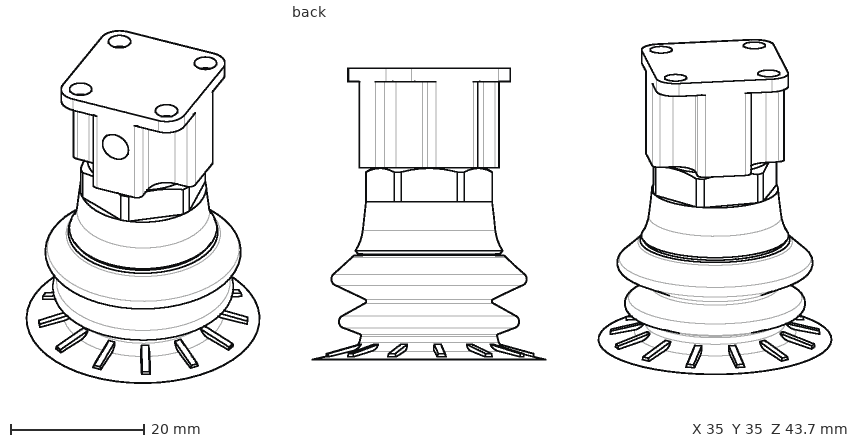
import cadquery as cq
import math

head_turn = 22.5
top_z = 43.7
flange_thickness = 2.0
flange_half_side = 10.0
screw_offset = 7.1
screw_hole_diameter = 3.3
block_bottom_z = 28.75
arm_corner_radius = 1.0
screw_clearance_radius = 3.0
bore_diameter = 8.3
port_diameter = 4.3
port_z = 37.0

hex_across_flats = 17.0
hex_corner_radius = 9.5
hex_top_radius = 8.4
hex_chamfer_angle = 30.0

collar_top_z = 23.7
collar_top_radius = 9.5
collar_waist_z = 19.4
collar_waist_radius = 9.95
collar_rim_z = 16.35
collar_rim_radius = 11.05
collar_bottom_z = 15.8
collar_bottom_radius = 10.65

neck_radius = 9.95
shoulder_edge = (11.25, 15.65)
shoulder_cone_top = (11.6, 15.35)
fold_radius = 1.0
groove_radius = 0.3
upper_fold = (13.68, 12.05)
lower_fold = (12.55, 5.7)
groove = (9.75, 8.75)
root_radius = 0.2
root = (10.45, 3.6)
upper_fold_top_tilt = 44
upper_fold_under_tilt = 65
lower_fold_top_tilt = 62
lower_fold_under_tilt = 68
waist_tilt = 15
waist_bottom = (10.5, 2.6)
lip_slope_start = (12.1, 1.25)
lip_diameter = 35.0

rib_count = 13
first_rib_angle = 180
rib_top_width = 1.05
rib_foot_width = 1.5
rib_depth = 0.8
rib_inner_radius = 10.5
rib_outer_radius = 15.75
rib_inner_z = 2.3
rib_outer_z = 0.87


def on_circle(centre, radius, angle):
    """Point at an angle in degrees on a circle in the radius-height plane."""
    turn = math.radians(angle)
    return (centre[0] + radius * math.cos(turn), centre[1] + radius * math.sin(turn))


def make_head():
    flange = (
        cq.Workplane("XY", origin=(0, 0, top_z - flange_thickness))
        .rect(2 * flange_half_side, 2 * flange_half_side)
        .extrude(flange_thickness)
        .edges("|Z")
        .fillet(flange_half_side - screw_offset)
        .faces(">Z")
        .workplane()
        .rect(2 * screw_offset, 2 * screw_offset, forConstruction=True)
        .vertices()
        .hole(screw_hole_diameter)
    )
    head = flange.union(make_block()).cut(make_port())
    return head.rotate((0, 0, 0), (0, 0, 1), head_turn)


def make_block():
    """Four rounded arms whose outer faces are flush with the flange, with a scallop between neighbours."""
    height = top_z - flange_thickness - block_bottom_z
    arm_half_width = screw_offset - screw_clearance_radius
    base = cq.Workplane("XY", origin=(0, 0, block_bottom_z))
    arm_pair = (
        base.rect(2 * flange_half_side, 2 * arm_half_width)
        .extrude(height)
        .edges("|Z")
        .fillet(arm_corner_radius)
    )
    core = base.rect(2 * screw_offset, 2 * screw_offset).extrude(height)
    scallops = (
        base.rect(2 * screw_offset, 2 * screw_offset, forConstruction=True)
        .vertices()
        .circle(screw_clearance_radius)
        .extrude(height)
    )
    cross_pair = arm_pair.rotate((0, 0, 0), (0, 0, 1), 90)
    bore = base.circle(bore_diameter / 2).extrude(height)
    return core.cut(scallops).union(arm_pair).union(cross_pair).cut(bore)


def make_port():
    """Side port reaching the bore axis from one arm face."""
    return (
        cq.Workplane("XZ", origin=(0, -flange_half_side, port_z))
        .circle(port_diameter / 2)
        .extrude(-flange_half_side)
    )


def make_fitting():
    height = block_bottom_z - collar_top_z
    across_corners = hex_across_flats / math.cos(math.pi / 6)
    hexagon = cq.Workplane("XY", origin=(0, 0, collar_top_z)).polygon(6, across_corners).extrude(height)
    chamfer_drop = (hex_corner_radius - hex_top_radius) * math.tan(math.radians(hex_chamfer_angle))
    turned_blank = (
        cq.Workplane("XZ")
        .moveTo(0, collar_top_z)
        .lineTo(hex_corner_radius, collar_top_z)
        .lineTo(hex_corner_radius, block_bottom_z - chamfer_drop)
        .lineTo(hex_top_radius, block_bottom_z)
        .lineTo(0, block_bottom_z)
        .close()
        .revolve(360, (0, 0, 0), (0, 1, 0))
    )
    return hexagon.intersect(turned_blank)


def make_collar():
    return (
        cq.Workplane("XZ")
        .moveTo(0, collar_top_z)
        .lineTo(collar_top_radius, collar_top_z)
        .lineTo(collar_waist_radius, collar_waist_z)
        .tangentArcPoint((collar_rim_radius, collar_rim_z), relative=False)
        .lineTo(collar_bottom_radius, collar_bottom_z)
        .lineTo(0, collar_bottom_z)
        .close()
        .revolve(360, (0, 0, 0), (0, 1, 0))
    )


def make_bellows():
    """Turned body with a thin conical lip, two rounded folds and radial ribs."""
    root_end = on_circle(root, root_radius, 180 - lower_fold_under_tilt)
    lower_fold_end = on_circle(lower_fold, fold_radius, lower_fold_top_tilt)
    groove_end = on_circle(groove, groove_radius, 180 - upper_fold_under_tilt)
    upper_fold_end = on_circle(upper_fold, fold_radius, upper_fold_top_tilt)
    profile = (
        cq.Workplane("XZ")
        .lineTo(lip_diameter / 2, 0)
        .lineTo(*lip_slope_start)
        .tangentArcPoint(waist_bottom, relative=False)
        .lineTo(*on_circle(root, root_radius, 180 + waist_tilt))
        .threePointArc((root[0] - root_radius, root[1]), root_end)
        .lineTo(*on_circle(lower_fold, fold_radius, -lower_fold_under_tilt))
        .threePointArc((lower_fold[0] + fold_radius, lower_fold[1]), lower_fold_end)
        .lineTo(*on_circle(groove, groove_radius, 180 + lower_fold_top_tilt))
        .threePointArc((groove[0] - groove_radius, groove[1]), groove_end)
        .lineTo(*on_circle(upper_fold, fold_radius, -upper_fold_under_tilt))
        .threePointArc((upper_fold[0] + fold_radius, upper_fold[1]), upper_fold_end)
        .lineTo(*shoulder_cone_top)
        .tangentArcPoint(shoulder_edge, relative=False)
        .lineTo(neck_radius, shoulder_edge[1])
        .lineTo(neck_radius, collar_bottom_z)
        .lineTo(0, collar_bottom_z)
        .close()
    )
    bellows = profile.revolve(360, (0, 0, 0), (0, 1, 0))
    for index in range(rib_count):
        angle = first_rib_angle + index * 360 / rib_count
        bellows = bellows.union(make_rib().rotate((0, 0, 0), (0, 0, 1), angle))
    return bellows


def make_rib():
    """Straight bar with sloping flanks that climbs from the lip towards the waist."""
    start = (rib_outer_radius, rib_outer_z)
    end = (rib_inner_radius, rib_inner_z)
    section = [
        (-rib_foot_width / 2, -rib_depth),
        (rib_foot_width / 2, -rib_depth),
        (rib_top_width / 2, 0),
        (-rib_top_width / 2, 0),
    ]
    path = cq.Workplane("XZ").moveTo(*start).lineTo(*end)
    return cq.Workplane("YZ", origin=(rib_outer_radius, 0, rib_outer_z)).polyline(section).close().sweep(path)


head = make_head()
fitting = make_fitting()
collar = make_collar()
bellows = make_bellows()

result = cq.Compound.makeCompound([head.val(), fitting.val(), collar.val(), bellows.val()])